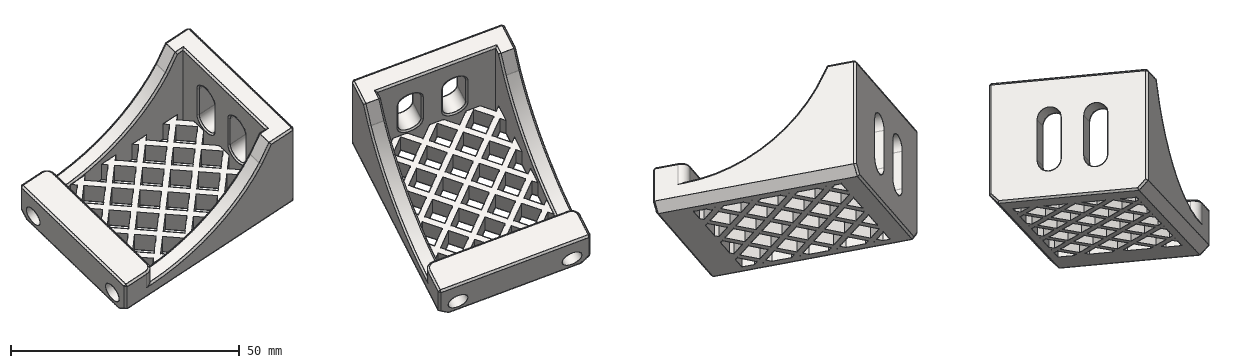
import cadquery as cq
import math

width = 36.25
length = 47.9
height = 27.7
edge_chamfer = 0.5
bottom_bevel = 2.1

side_wall = 4.0
back_wall = 5.0
floor_thickness = 5.55
lip_depth = 8.0
lip_height = 10.5
lip_corner_radius = 2.0

shoulder_length = 6.85
curve_start = 9.6
curve_centre = 40.6
curve_radius = 36.7
curve_low_height = 5.6

slot_centres_x = (-6.25, 4.35)
slot_radius = 2.75
slot_low_centre = 9.0
slot_high_centre = 18.25
slot_chamfer = 0.4

hole_diameter = 4.7
hole_depth = 5.0
hole_offset_x = 13.6
hole_height = 3.8

opening_spacing = 8.7
lattice_bar = 1.45
middle_opening_y = -2.15

selection_margin = 0.05

back_y = length / 2
front_y = -length / 2
lip_y = front_y + lip_depth
pocket_width = width - 2 * side_wall
pocket_back_y = back_y - back_wall


def box(size_x, size_y, size_z, start_y):
    """Box centred on X that rests on Z = 0 and starts at the given Y."""
    return cq.Workplane("XY", origin=(0, start_y, 0)).box(
        size_x, size_y, size_z, centered=(True, False, False)
    )


def bevel_bottom(body):
    """Bevel the two long bottom edges of a body of full width."""
    return body.edges("|Y and <Z").edges("<X or >X").chamfer(bottom_bevel)


def side_profile(end_y):
    """Outline of a side wall, with its sloping top edge, ending at the given Y."""
    start_y = back_y - curve_start
    centre_y = back_y - curve_centre
    centre_z = curve_low_height + curve_radius
    start_angle = math.asin((start_y - centre_y) / curve_radius)

    def curve_point(angle):
        return (
            centre_y + curve_radius * math.sin(angle),
            centre_z - curve_radius * math.cos(angle),
        )

    return (
        cq.Workplane("YZ", origin=(-width / 2, 0, 0))
        .moveTo(back_y, 0)
        .lineTo(back_y, height)
        .lineTo(back_y - shoulder_length, height)
        .lineTo(*curve_point(start_angle))
        .threePointArc(curve_point(start_angle / 2), curve_point(0))
        .lineTo(end_y, curve_low_height)
        .lineTo(end_y, 0)
        .close()
    )


def wall_body():
    """Back wall and side walls around a pocket, with chamfered outer edges."""
    end_y = lip_y - lip_corner_radius
    walls = bevel_bottom(side_profile(end_y).extrude(width))
    pocket = box(pocket_width, pocket_back_y - end_y, height, end_y)
    walls = walls.cut(pocket)
    above_floor = cq.selectors.BoxSelector(
        (-width, end_y, curve_low_height - selection_margin),
        (width, back_y - selection_margin, height + selection_margin),
    )
    side_rims = walls.edges(above_floor).edges("not(|Z or |X)").vals()
    inner_top_middle = cq.NearestToPointSelector((0, pocket_back_y, height))
    back_rim = walls.faces(">Z").edges("|X").edges(inner_top_middle).vals()
    back_outline = walls.faces(">Y").edges().vals()
    return walls.newObject(side_rims + back_rim + back_outline).chamfer(edge_chamfer)


def lip():
    """Front lip over the full width, with rounded inner corners and chamfers."""
    block = bevel_bottom(box(width, lip_depth, lip_height, front_y))
    block = block.edges("|Z and >Y").fillet(lip_corner_radius)
    outline = block.faces("<Y").edges().vals() + block.faces(">Z").edges("not <Y").vals()
    return block.newObject(outline).chamfer(edge_chamfer)


def lattice_floor():
    """Floor panel of the pocket, pierced by square openings turned 45 degrees."""
    opening_diagonal = opening_spacing - math.sqrt(2) * lattice_bar
    half_spacing = opening_spacing / 2
    reach = math.ceil(length / opening_spacing)
    centres = []
    for row in range(-reach, reach + 1):
        for column in range(-reach, reach + 1):
            if (row + column) % 2 == 0:
                centres.append((column * half_spacing, middle_opening_y + row * half_spacing))
    openings = (
        cq.Workplane("XY")
        .pushPoints(centres)
        .polygon(4, opening_diagonal)
        .extrude(floor_thickness)
    )
    panel = box(pocket_width, pocket_back_y - lip_y, floor_thickness, lip_y)
    return panel.cut(openings)


def wall_slot(centre_x):
    """Upright rounded slot through the back wall, chamfered on the pocket side."""
    middle_z = (slot_low_centre + slot_high_centre) / 2
    spacing = slot_high_centre - slot_low_centre
    face = cq.Workplane("XZ", origin=(centre_x, pocket_back_y, middle_z))
    slot = face.slot2D(spacing + 2 * slot_radius, 2 * slot_radius, 90).extrude(-back_wall)
    mouth_radius = slot_radius + slot_chamfer
    mouth = (
        face.slot2D(spacing + 2 * mouth_radius, 2 * mouth_radius, 90)
        .extrude(-slot_chamfer, taper=45)
    )
    return slot.union(mouth)


def front_holes():
    """Blind holes in the front face, one near each end."""
    return (
        cq.Workplane("XZ", origin=(0, front_y, hole_height))
        .pushPoints([(-hole_offset_x, 0), (hole_offset_x, 0)])
        .circle(hole_diameter / 2)
        .extrude(-hole_depth)
    )


result = wall_body().union(lip()).union(lattice_floor())
for slot_x in slot_centres_x:
    result = result.cut(wall_slot(slot_x))
result = result.cut(front_holes())